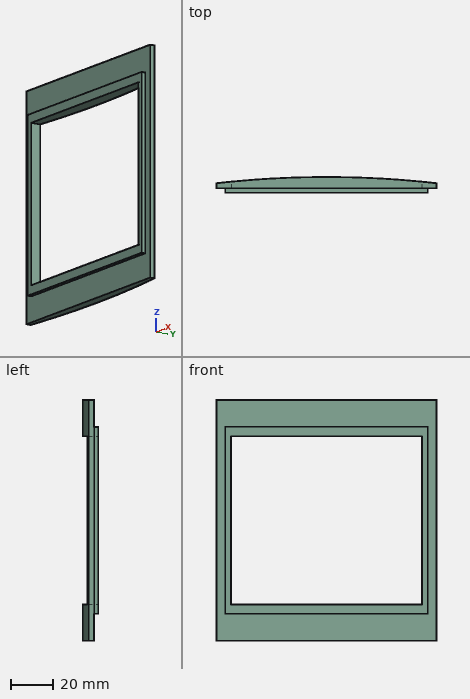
import cadquery as cq

width = 104.5
height = 114.3
depth = 7.5

lip_width = 96.2
lip_height = 88.7
lip_depth = 2.1

opening_width = 90.5
opening_height = 79.7

edge_thickness = 2.5

crown_y = depth - lip_depth


def domed_plate():
    """Plate with a flat front and a back bowed across its width."""
    profile = (
        cq.Workplane("XY")
        .moveTo(-width / 2, 0)
        .lineTo(width / 2, 0)
        .lineTo(width / 2, edge_thickness)
        .threePointArc((0, crown_y), (-width / 2, edge_thickness))
        .close()
    )
    return profile.extrude(height / 2, both=True)


def front_lip():
    """Rectangular step standing forward of the plate."""
    return cq.Workplane("XY").box(lip_width, lip_depth, lip_height).translate((0, -lip_depth / 2, 0))


def opening():
    """Block spanning the full depth of the plate and lip."""
    middle_y = (crown_y - lip_depth) / 2
    return cq.Workplane("XY").box(opening_width, depth, opening_height).translate((0, middle_y, 0))


result = domed_plate().union(front_lip()).cut(opening())